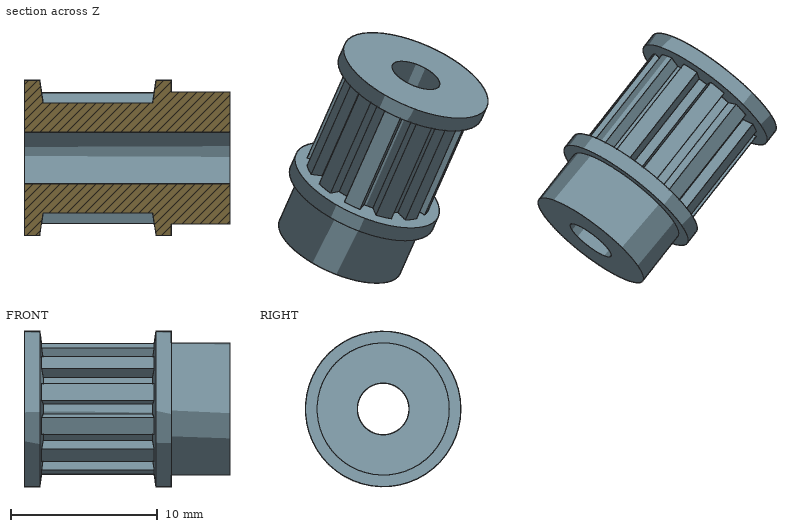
import cadquery as cq
import math

total_length = 14.0
hub_length = 4.0
flange_diameter = 10.6
hub_diameter = 9.0
bore_diameter = 3.5
flange_rim_width = 1.05
flange_taper_angle = 8.5

tooth_count = 12
tip_radius = 4.5
groove_depth = 0.75
root_radius = tip_radius - groove_depth
groove_pitch_angle = 360.0 / tooth_count
groove_mouth_half_angle = groove_pitch_angle / 4
groove_floor_half_angle = 5.0

flange_radius = flange_diameter / 2
hub_radius = hub_diameter / 2
bore_radius = bore_diameter / 2
hub_start = total_length - hub_length
taper_width = (flange_radius - root_radius) * math.tan(math.radians(flange_taper_angle))
flange_root_width = flange_rim_width + taper_width


def polar(radius, angle):
    """Point at an angle in degrees in the plane across the pulley axis."""
    return (radius * math.cos(math.radians(angle)), radius * math.sin(math.radians(angle)))


def make_body():
    """Revolve the flanges, the barrel at its root radius and the hub around X."""
    half_section = (
        cq.Workplane("XY")
        .moveTo(0, bore_radius)
        .lineTo(0, flange_radius)
        .lineTo(flange_rim_width, flange_radius)
        .lineTo(flange_root_width, root_radius)
        .lineTo(hub_start - flange_root_width, root_radius)
        .lineTo(hub_start - flange_rim_width, flange_radius)
        .lineTo(hub_start, flange_radius)
        .lineTo(hub_start, hub_radius)
        .lineTo(total_length, hub_radius)
        .lineTo(total_length, bore_radius)
        .close()
    )
    return half_section.revolve(360, (0, 0, 0), (1, 0, 0))


def make_teeth():
    """Toothed ring from flange rim to flange rim: straight groove walls, arc tips and floors."""
    outline = cq.Workplane("YZ", origin=(flange_rim_width, 0, 0))
    outline = outline.moveTo(*polar(root_radius, -groove_floor_half_angle))
    for index in range(tooth_count):
        groove_angle = index * groove_pitch_angle
        next_groove_angle = groove_angle + groove_pitch_angle
        tooth_angle = groove_angle + groove_pitch_angle / 2
        next_floor_start = polar(root_radius, next_groove_angle - groove_floor_half_angle)
        outline = outline.threePointArc(
            polar(root_radius, groove_angle),
            polar(root_radius, groove_angle + groove_floor_half_angle),
        )
        outline = outline.lineTo(*polar(tip_radius, groove_angle + groove_mouth_half_angle))
        outline = outline.threePointArc(
            polar(tip_radius, tooth_angle),
            polar(tip_radius, next_groove_angle - groove_mouth_half_angle),
        )
        outline = outline.lineTo(*next_floor_start)
    barrel_length = hub_start - 2 * flange_rim_width
    return outline.close().circle(bore_radius).extrude(barrel_length)


result = make_body().union(make_teeth())